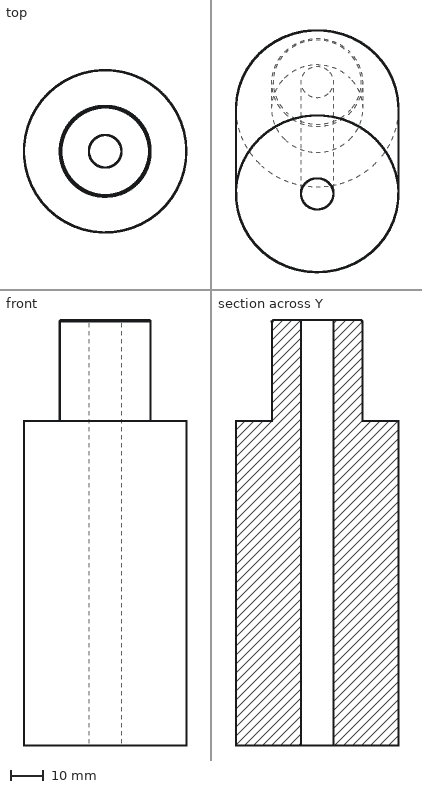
import cadquery as cq

total_length = 131.0
body_diameter = 50.0
body_length = 100.0
spigot_diameter = 28.0
spigot_chamfer = 0.5
bore_diameter = 10.0

spigot_length = total_length - body_length

body = cq.Workplane("XY").circle(body_diameter / 2).extrude(body_length)

spigot = (
    cq.Workplane("XY")
    .workplane(offset=body_length)
    .circle(spigot_diameter / 2)
    .extrude(spigot_length)
    .faces(">Z")
    .chamfer(spigot_chamfer)
)

bore = cq.Workplane("XY").circle(bore_diameter / 2).extrude(total_length)

result = body.union(spigot).cut(bore)